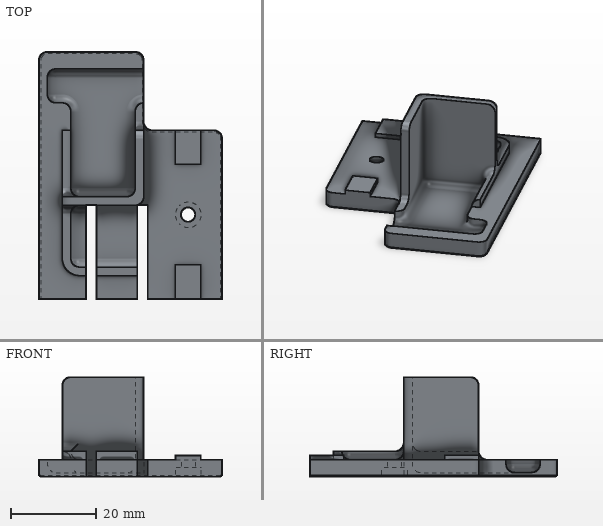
import cadquery as cq

length = 58.0
width = 43.0
plate_top = 4.0
wing_length = 39.6
bottom_chamfer = 0.4

radius = 2.0

wall = 2.0
holder_left = 5.5
holder_right = 24.6
holder_front = 5.5
rim_top = 6.0
rim_corner_radius = 4.0
wall_front = 22.0
wall_top = 23.4
wall_back = wall_front + wall
inner_left = holder_left + wall
inner_right = holder_right - wall
inner_front = holder_front + wall

pocket_floor = 1.0
bay_left = 2.0
bay_front = 46.0
bay_back = 54.0

slot_width = 2.4
tongue_left = 13.5
tongue_right = 23.1

pad_left = 32.0
pad_width = 6.0
pad_length = 8.0
pad_top = 5.0
hole_diameter = 3.3
counterbore_diameter = 6.0
counterbore_depth = 2.2
hole_x = pad_left + pad_width / 2
hole_y = wing_length / 2

overrun = 5.0


def block(x, y, z):
    """Box spanning the given (low, high) pairs."""
    size = (x[1] - x[0], y[1] - y[0], z[1] - z[0])
    return cq.Workplane("XY").box(*size, centered=False).translate((x[0], y[0], z[0]))


def concave_fillet(center_y, base_z, wall_side, x):
    """Fillet bar along X whose upright face is at center_y + wall_side * radius."""
    wall_y = center_y + wall_side * radius
    bar = block(x, sorted((center_y, wall_y)), (base_z, base_z + radius))
    cylinder = (
        cq.Workplane("YZ", origin=(x[0], 0, 0))
        .center(center_y, base_z + radius)
        .circle(radius)
        .extrude(x[1] - x[0])
    )
    return bar.cut(cylinder)


def base_plate():
    """L-shaped plate, rounded at all corners behind the front edge."""
    outline = [
        (0, 0),
        (width, 0),
        (width, wing_length),
        (holder_right, wing_length),
        (holder_right, length),
        (0, length),
    ]
    plate = cq.Workplane("XY").polyline(outline).close().extrude(plate_top)
    far_corner = (width + overrun, length + overrun, plate_top)
    behind_front = cq.selectors.BoxSelector((-overrun, overrun, 0), far_corner)
    plate = plate.edges("|Z").edges(behind_front).fillet(radius)
    return plate.faces("<Z").edges("not <Y").chamfer(bottom_chamfer)


def rim():
    """Low rim: a front part with a round outer corner and a strip whose inner edge is rounded."""
    front = block((holder_left, tongue_right), (holder_front, wall_front), (0, rim_top))
    front = front.edges("|Z and <X and <Y").fillet(rim_corner_radius)
    strip = block((holder_left, inner_left), (wall_front, wing_length), (0, rim_top))
    rounding = block((holder_left, inner_left), (wall_back, wing_length), (plate_top, rim_top))
    rounding = rounding.cut(
        cq.Workplane("XZ", origin=(holder_left, wing_length, plate_top))
        .circle(radius)
        .extrude(wing_length - wall_back)
    )
    return front.union(strip.cut(rounding))


def rim_to_wall_fillet():
    """Fillet between the back of the cross wall and the rounded rim, swept about the rounding's axis."""
    return (
        cq.Workplane("XY", origin=(holder_left, wall_back, plate_top))
        .moveTo(0, 0)
        .lineTo(2 * radius, 0)
        .radiusArc((radius, radius), radius)
        .lineTo(0, radius)
        .close()
        .revolve(90, (0, 0), (0, -1))
    )


def walls():
    """Cross wall and side wall; the side wall is thickened to leave stock for the inner corner radius."""
    cross = block((holder_left, holder_right), (wall_front, wall_back), (0, wall_top))
    cross = cross.edges("|Y and <X and >Z").fillet(radius)
    side = block((inner_right - radius, holder_right), (wall_front, wing_length), (0, wall_top))
    side = side.edges("|X and >Y and >Z").fillet(radius)
    both = cross.union(side).edges("|Z and >X and <Y").fillet(radius)
    x_span = (holder_left, inner_right)
    return (
        both.union(concave_fillet(wall_front - radius, rim_top, 1, x_span))
        .union(rim_to_wall_fillet())
        .union(concave_fillet(wing_length + radius, plate_top, -1, (inner_right, holder_right)))
    )


def rear_pocket():
    """Cutter for the rear channel and bay, which is open on the right side."""
    far = holder_right + overrun
    outline = [
        (inner_left, wall_back),
        (inner_right, wall_back),
        (inner_right, bay_front),
        (far, bay_front),
        (far, bay_back),
        (bay_left, bay_back),
        (bay_left, bay_front),
        (inner_left, bay_front),
    ]
    pocket = cq.Workplane("XY", origin=(0, 0, pocket_floor)).polyline(outline).close().extrude(wall_top)
    pocket = pocket.edges("|Z").edges("not >X").fillet(radius)
    return pocket.faces("<Z").edges("not >X").fillet(radius)


def front_pocket():
    """Cutter for the space inside the front rim, filleted where it meets the plate."""
    pocket = block((inner_left, tongue_right + overrun), (inner_front, wall_front), (plate_top, wall_top))
    pocket = pocket.edges("|Z and <X").fillet(radius)
    return pocket.faces("<Z").edges("not >X").fillet(radius)


def tongue_relief():
    """Levels the tongue up to the foot of the cross wall."""
    return block((tongue_left, tongue_right), (inner_front + radius, wall_front), (plate_top, wall_top))


def slot(left):
    """Cutter through the plate and rim, from the front edge to the cross wall."""
    return block((left, left + slot_width), (-overrun, wall_front), (-overrun, rim_top + radius))


def pad(front):
    """Raised rectangle on the wing, starting at the given Y."""
    return block((pad_left, pad_left + pad_width), (front, front + pad_length), (plate_top, pad_top))


def screw_hole():
    """Through hole with a counterbore that opens on the underside."""
    base = cq.Workplane("XY").center(hole_x, hole_y)
    counterbore = base.circle(counterbore_diameter / 2).extrude(counterbore_depth)
    return base.circle(hole_diameter / 2).extrude(plate_top).union(counterbore)


plate = base_plate()
holder = rim().union(walls())
result = plate.union(holder).cut(rear_pocket()).cut(front_pocket()).cut(tongue_relief())
for left in (tongue_left - slot_width, tongue_right):
    result = result.cut(slot(left))
for front in (0, wing_length - pad_length):
    result = result.union(pad(front))
result = result.cut(screw_hole())